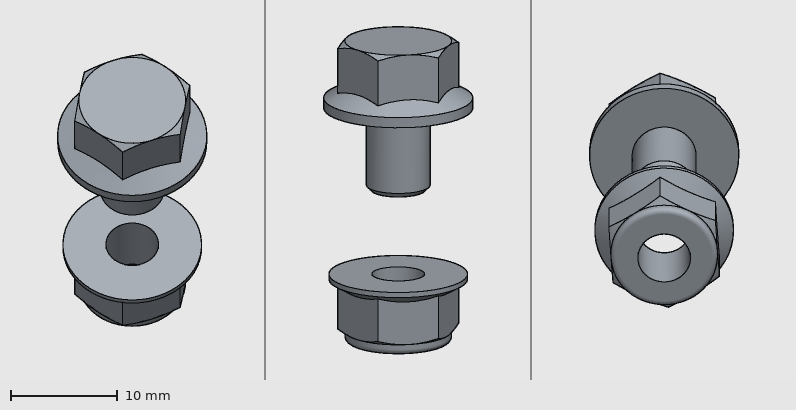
import cadquery as cq
import math

OVERALL_HEIGHT = 29.17
HEX_ACROSS_FLATS = 10.0
CONE_SLOPE = math.tan(math.radians(30))

BOLT_FLANGE_DIAMETER = 14.0
BOLT_FLANGE_RIM = 1.0
HEAD_HEIGHT = 6.5
SHANK_DIAMETER = 6.0
SHANK_LENGTH = 8.0
SHANK_CHAMFER = 0.5

NUT_HEIGHT = 6.5
NUT_FLANGE_DIAMETER = 13.0
NUT_FLANGE_RIM = 0.5
COLLAR_HEIGHT = 1.0
COLLAR_FILLET = 0.5
BORE_DIAMETER = 4.93

FLAT_RADIUS = HEX_ACROSS_FLATS / 2
HEX_ACROSS_CORNERS = HEX_ACROSS_FLATS / math.cos(math.radians(30))


def flanged_hex(height, flange_diameter, rim_height):
    """Hexagon standing on a conical flange at z = 0, its far corners cut by a cone."""
    flange_radius = flange_diameter / 2
    flange_cone_height = flange_radius * CONE_SLOPE
    flange = (
        cq.Workplane("XZ")
        .polyline([
            (0, 0),
            (flange_radius, 0),
            (flange_radius, rim_height),
            (0, rim_height + flange_cone_height),
        ])
        .close()
        .revolve(360, (0, 0), (0, 1))
    )

    hexagon = (
        cq.Workplane("XY")
        .polygon(6, HEX_ACROSS_CORNERS)
        .extrude(height)
        .rotate((0, 0, 0), (0, 0, 1), 30)
    )

    cone_base_radius = FLAT_RADIUS + height / CONE_SLOPE
    corner_cone = (
        cq.Workplane("XZ")
        .polyline([
            (0, 0),
            (cone_base_radius, 0),
            (FLAT_RADIUS, height),
            (0, height),
        ])
        .close()
        .revolve(360, (0, 0), (0, 1))
    )
    return flange.union(hexagon.intersect(corner_cone))


def make_bolt():
    """Flanged hex bolt, head up, with a chamfered plain shank."""
    head = flanged_hex(HEAD_HEIGHT, BOLT_FLANGE_DIAMETER, BOLT_FLANGE_RIM)
    shank = (
        cq.Workplane("XY")
        .circle(SHANK_DIAMETER / 2)
        .extrude(-SHANK_LENGTH)
        .faces("<Z")
        .chamfer(SHANK_CHAMFER)
    )
    return head.union(shank).translate((0, 0, OVERALL_HEIGHT - HEAD_HEIGHT))


def make_nut():
    """Flanged nut with its flange up, a round collar below and a through bore."""
    hex_height = NUT_HEIGHT - COLLAR_HEIGHT
    body = (
        flanged_hex(hex_height, NUT_FLANGE_DIAMETER, NUT_FLANGE_RIM)
        .rotate((0, 0, 0), (1, 0, 0), 180)
        .translate((0, 0, NUT_HEIGHT))
    )
    collar = (
        cq.Workplane("XY")
        .circle(FLAT_RADIUS)
        .extrude(COLLAR_HEIGHT)
        .faces("<Z")
        .edges()
        .fillet(COLLAR_FILLET)
    )
    bore = cq.Workplane("XY").circle(BORE_DIAMETER / 2).extrude(NUT_HEIGHT)
    return body.union(collar).cut(bore)


bolt = make_bolt()
nut = make_nut()
result = cq.Compound.makeCompound([bolt.solids().val(), nut.solids().val()])